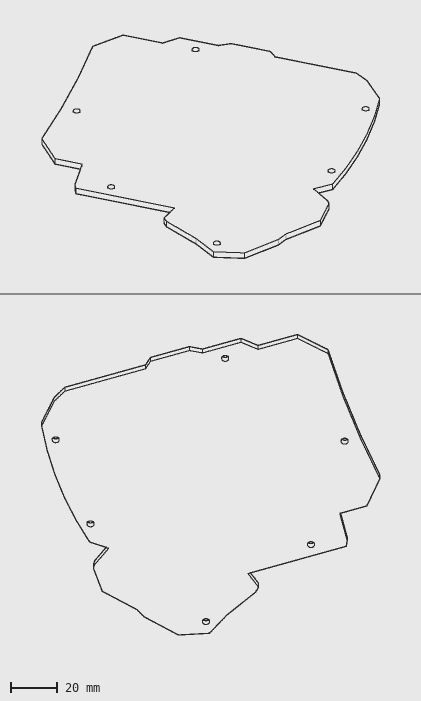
import cadquery as cq

WIDTH = 131.0
LENGTH = 142.3
THICKNESS = 3.0
HOLE_DIAMETER = 3.0

left_axis_y = 87.4
left_half_span = 34.5
left_half_length = 46.1
left_arc_depth = 1.3
left_bevel_x = 9.8
left_top_y = left_axis_y + left_half_length
left_bottom_y = left_axis_y - left_half_length

right_axis_y = 93.3
right_half_span = 31.9
right_arc_end_x = 127.9
right_arc_x = 130.7

shoulder_y = 139.3
lower_edge_y = 24.2

top_edge = [
    (left_bevel_x, left_top_y),
    (27.6, left_top_y),
    (33.3, shoulder_y),
    (50.6, shoulder_y),
    (55.5, LENGTH),
    (73.1, LENGTH),
    (76.3, shoulder_y),
    (112.7, shoulder_y),
    (118.7, 135.7),
    (right_arc_end_x, right_axis_y + right_half_span),
]

lower_edge = [
    (121.2, 55.8),
    (129.6, 49.7),
    (right_arc_x, 48.1),
    (WIDTH, 35.4),
    (120.1, 21.6),
    (118.4, 17.1),
    (107.5, 3.4),
    (94.8, 0),
    (84.8, 6.5),
    (69.0, 14.1),
    (67.2, 16.1),
    (69.1, lower_edge_y),
    (24.9, lower_edge_y),
    (23.6, 26.6),
    (22.0, left_bottom_y),
    (left_bevel_x, left_bottom_y),
    (0, left_axis_y - left_half_span),
]

right_hole_x = 124.5
hole_centers = [
    (42.4, left_top_y),
    (right_hole_x, 116.5),
    (8.0, 76.3),
    (right_hole_x, 70.3),
    (38.8, 29.9),
    (94.2, 6.3),
]


def make_plate():
    outline = cq.Workplane("XY").moveTo(0, left_axis_y + left_half_span)
    for point in top_edge:
        outline = outline.lineTo(*point)
    outline = outline.threePointArc(
        (right_arc_x, right_axis_y),
        (right_arc_end_x, right_axis_y - right_half_span),
    )
    for point in lower_edge:
        outline = outline.lineTo(*point)
    outline = outline.threePointArc(
        (left_arc_depth, left_axis_y),
        (0, left_axis_y + left_half_span),
    )
    return outline.close().extrude(THICKNESS)


def make_holes():
    return cq.Workplane("XY").pushPoints(hole_centers).circle(HOLE_DIAMETER / 2).extrude(THICKNESS)


result = make_plate().cut(make_holes())